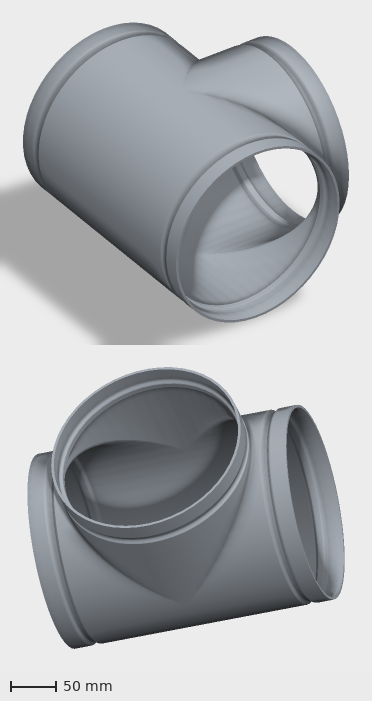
import cadquery as cq
import math

run_length = 298.7
branch_length = 149.4
outer_diameter = 219.0
wall = 3.0
crotch_radius = 3.0

groove_diameter = 211.2
groove_center = 25.0
groove_floor = 4.2
flank_angle = 50.0
bend_radius = 1.05
end_shoulder_radius = 2.7

outer_radius = outer_diameter / 2
inner_radius = outer_radius - wall
groove_depth = outer_radius - groove_diameter / 2
flank_width = groove_depth / math.tan(math.radians(flank_angle))

inner_groove_floor = groove_floor + 2 * wall * math.tan(math.radians(flank_angle / 2))


def groove_ring(radius, floor_width):
    """Ring between a cylinder and its grooved surface, centred on X = 0.

    The pipe end lies on the -X side, where the shoulder has the softer bend.
    """
    floor_half = floor_width / 2
    shoulder = floor_half + flank_width
    bottom = radius - groove_depth
    half_length = 2 * shoulder
    core = (
        cq.Workplane("XY")
        .polyline(
            [
                (-half_length, 0),
                (-half_length, radius),
                (-shoulder, radius),
                (-floor_half, bottom),
                (floor_half, bottom),
                (shoulder, radius),
                (half_length, radius),
                (half_length, 0),
            ]
        )
        .close()
        .revolve(360, (0, 0, 0), (1, 0, 0))
    )
    bends = [
        (-shoulder, end_shoulder_radius),
        (-floor_half, bend_radius),
        (floor_half, bend_radius),
        (shoulder, bend_radius),
    ]
    for x, fillet_radius in bends:
        bend_circle = cq.selectors.NearestToPointSelector((x, 0, 0))
        core = core.edges("%CIRCLE").edges(bend_circle).fillet(fillet_radius)
    cylinder = cq.Workplane("YZ").circle(radius).extrude(half_length, both=True)
    return cylinder.cut(core)


def at_pipe_ends(ring):
    """Copies of a ring at the groove of both run ends and of the branch end."""
    start_ring = ring.translate((groove_center - run_length / 2, 0, 0))
    branch_ring = ring.translate((groove_center - branch_length, 0, 0))
    return [
        start_ring,
        start_ring.rotate((0, 0, 0), (0, 0, 1), 180),
        branch_ring.rotate((0, 0, 0), (0, 0, 1), -90),
    ]


def tee_body(radius, fillet_radius, ring):
    """Solid tee of two equal cylinders, filleted at the crotch and grooved."""
    run = cq.Workplane("YZ").circle(radius).extrude(run_length / 2, both=True)
    branch = cq.Workplane("XZ").circle(radius).extrude(-branch_length)
    body = run.union(branch).edges("%ELLIPSE").fillet(fillet_radius)
    for end_ring in at_pipe_ends(ring):
        body = body.cut(end_ring)
    return body


outer_ring = groove_ring(outer_radius, groove_floor)
inner_ring = groove_ring(inner_radius, inner_groove_floor)

outside = tee_body(outer_radius, crotch_radius, outer_ring)
bore = tee_body(inner_radius, crotch_radius + wall, inner_ring)

result = outside.cut(bore)